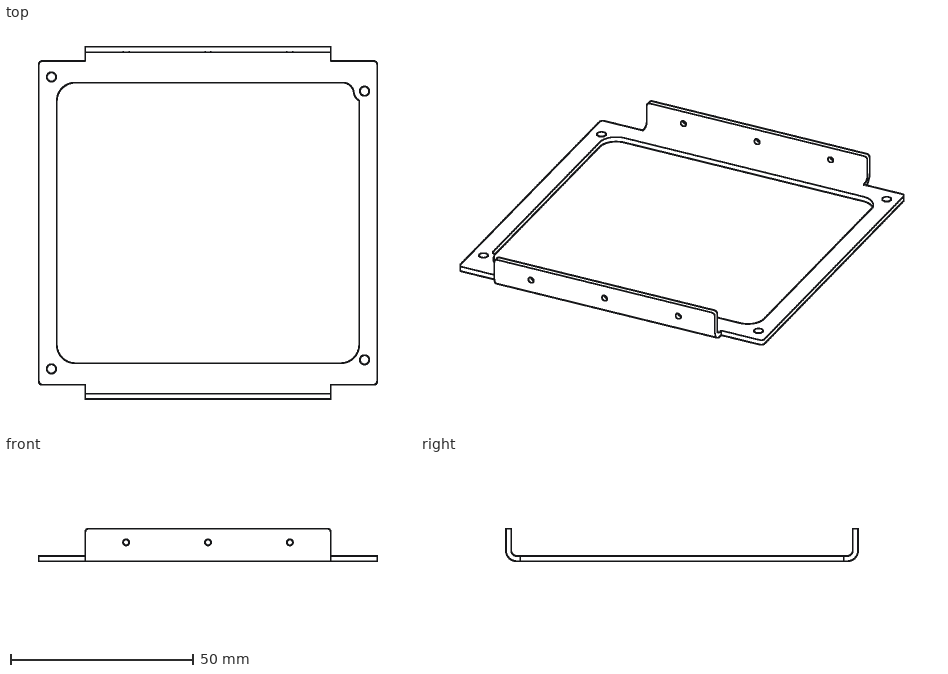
import math

import cadquery as cq

THICKNESS = 1.5
BEND_INNER_RADIUS = 1.5
BEND_OUTER_RADIUS = BEND_INNER_RADIUS + THICKNESS

PLATE_X = 93.0
PLATE_Y = 89.0
PLATE_CORNER_RADIUS = 1.0

OPENING_X = 83.0
OPENING_Y = 77.0
OPENING_CORNER_RADIUS = 5.0

FLANGE_X = 67.5
FLANGE_SPAN_Y = 96.8
FLANGE_HEIGHT = 9.0
FLANGE_CORNER_RADIUS = 1.0
FLANGE_HOLE_DIAMETER = 1.6
FLANGE_HOLE_PITCH = 22.5
FLANGE_HOLE_Z = 5.2
FLANGE_HOLE_STEPS = (-1, 0, 1)

MOUNT_HOLE_DIAMETER = 2.5
MOUNT_HOLE_X = 43.0
LEFT_HOLE_Y = 40.1
RIGHT_REAR_HOLE_Y = 36.2
RIGHT_FRONT_HOLE_Y = -37.6

LAND_RADIUS = 3.0
LAND_FILLET_RADIUS = 3.0


def make_plate():
    """Flat plate with rounded corners and no openings."""
    plate = cq.Workplane("XY").rect(PLATE_X, PLATE_Y).extrude(THICKNESS)
    return plate.edges("|Z").fillet(PLATE_CORNER_RADIUS)


def make_opening():
    """Tool for the central opening, whose right rear corner steps around a hole."""
    side_x = OPENING_X / 2
    end_y = OPENING_Y / 2
    radius = OPENING_CORNER_RADIUS

    fillet_y = end_y - LAND_FILLET_RADIUS
    center_distance = LAND_RADIUS + LAND_FILLET_RADIUS
    rise = fillet_y - RIGHT_REAR_HOLE_Y
    run = math.sqrt(center_distance**2 - rise**2)
    fillet_x = MOUNT_HOLE_X - run

    land_share = LAND_RADIUS / center_distance
    tangent_x = MOUNT_HOLE_X - run * land_share
    tangent_y = RIGHT_REAR_HOLE_Y + rise * land_share

    land_end_y = RIGHT_REAR_HOLE_Y - math.sqrt(LAND_RADIUS**2 - (MOUNT_HOLE_X - side_x) ** 2)

    return (
        cq.Workplane("XY")
        .moveTo(radius - side_x, end_y)
        .lineTo(fillet_x, end_y)
        .radiusArc((tangent_x, tangent_y), LAND_FILLET_RADIUS)
        .radiusArc((side_x, land_end_y), -LAND_RADIUS)
        .lineTo(side_x, radius - end_y)
        .radiusArc((side_x - radius, -end_y), radius)
        .lineTo(radius - side_x, -end_y)
        .radiusArc((-side_x, radius - end_y), radius)
        .lineTo(-side_x, end_y - radius)
        .radiusArc((radius - side_x, end_y), radius)
        .close()
        .extrude(THICKNESS)
    )


def make_mount_holes():
    """Tool for the four mounting holes through the plate."""
    centers = [
        (-MOUNT_HOLE_X, LEFT_HOLE_Y),
        (-MOUNT_HOLE_X, -LEFT_HOLE_Y),
        (MOUNT_HOLE_X, RIGHT_REAR_HOLE_Y),
        (MOUNT_HOLE_X, RIGHT_FRONT_HOLE_Y),
    ]
    holes = cq.Workplane("XY").pushPoints(centers)
    return holes.circle(MOUNT_HOLE_DIAMETER / 2).extrude(THICKNESS)


def make_flange():
    """Bent flange on the +Y side, with rounded top corners and a row of holes."""
    outer_y = FLANGE_SPAN_Y / 2
    inner_y = outer_y - THICKNESS
    bend_y = outer_y - BEND_OUTER_RADIUS
    root_y = OPENING_Y / 2
    flange = (
        cq.Workplane("YZ")
        .moveTo(root_y, 0)
        .lineTo(bend_y, 0)
        .radiusArc((outer_y, BEND_OUTER_RADIUS), -BEND_OUTER_RADIUS)
        .lineTo(outer_y, FLANGE_HEIGHT)
        .lineTo(inner_y, FLANGE_HEIGHT)
        .lineTo(inner_y, BEND_OUTER_RADIUS)
        .radiusArc((bend_y, THICKNESS), BEND_INNER_RADIUS)
        .lineTo(root_y, THICKNESS)
        .close()
        .extrude(FLANGE_X / 2, both=True)
    )
    flange = flange.faces(">Z").edges("|Y").fillet(FLANGE_CORNER_RADIUS)
    hole_centers = [(step * FLANGE_HOLE_PITCH, FLANGE_HOLE_Z) for step in FLANGE_HOLE_STEPS]
    holes = (
        cq.Workplane("XZ", origin=(0, outer_y, 0))
        .pushPoints(hole_centers)
        .circle(FLANGE_HOLE_DIAMETER / 2)
        .extrude(THICKNESS)
    )
    return flange.cut(holes)


rear_flange = make_flange()
front_flange = rear_flange.mirror("XZ")

result = (
    make_plate()
    .union(rear_flange)
    .union(front_flange)
    .cut(make_opening())
    .cut(make_mount_holes())
    .clean()
)